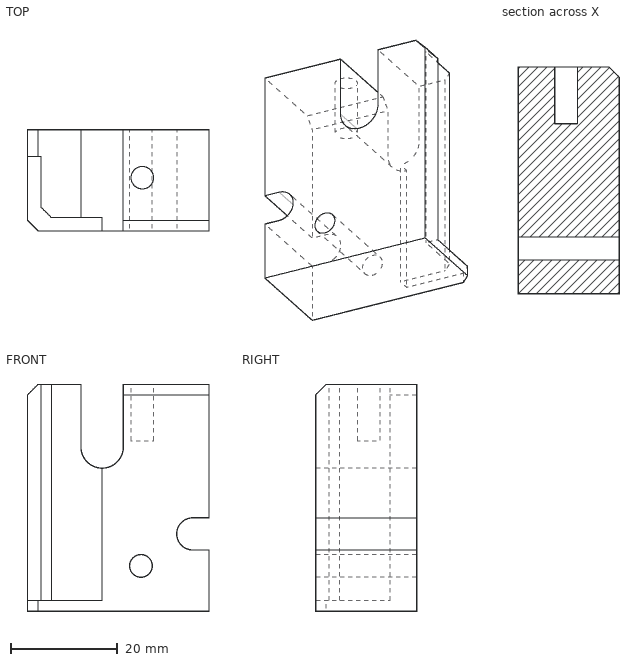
import cadquery as cq

width = 34.0
depth = 19.0
height = 42.5
chamfer = 2.0

step_depth = 2.5
ledge_height = 2.0
rear_rib_depth = 5.0

slot_x = 14.0
slot_width = 7.9
slot_floor = 26.8

notch_z = 14.5
notch_width = 6.0
notch_end_x = 27.95

hole_diameter = 4.2
through_hole_x = 21.25
through_hole_z = 8.5
top_hole_x = 21.5
top_hole_y = 10.0
top_hole_depth = 10.62


def box_between(x0, x1, y0, y1, z0, z1):
    return cq.Workplane("XY").box(x1 - x0, y1 - y0, z1 - z0, centered=False).translate((x0, y0, z0))


def rod_along_y(x, z, diameter):
    """Cylinder through the whole depth of the block."""
    return cq.Workplane("XZ", origin=(x, 0, z)).circle(diameter / 2).extrude(-depth)


def chamfered_block():
    block = cq.Workplane("XY").box(width, depth, height, centered=False)
    block = block.edges("|Z and <X and <Y").chamfer(chamfer)
    left_wedge = (
        cq.Workplane("XZ")
        .polyline([(0, height - chamfer), (chamfer, height), (0, height)])
        .close()
        .extrude(-depth)
    )
    front_wedge = (
        cq.Workplane("YZ")
        .polyline([(0, height - chamfer), (chamfer, height), (0, height)])
        .close()
        .extrude(width)
    )
    return block.cut(left_wedge).cut(front_wedge)


def corner_step():
    """L-shaped cutter that wraps the front left corner and leaves the ledge below."""
    rib_front = depth - rear_rib_depth
    return (
        cq.Workplane("XY", origin=(0, 0, ledge_height))
        .polyline([
            (0, 0),
            (slot_x, 0),
            (slot_x, step_depth),
            (step_depth + chamfer, step_depth),
            (step_depth, step_depth + chamfer),
            (step_depth, rib_front),
            (0, rib_front),
        ])
        .close()
        .extrude(height - ledge_height)
    )


def top_slot():
    radius = slot_width / 2
    arc_z = slot_floor + radius
    channel = box_between(slot_x - radius, slot_x + radius, 0, depth, arc_z, height)
    return channel.union(rod_along_y(slot_x, arc_z, slot_width))


def side_notch():
    radius = notch_width / 2
    arc_x = notch_end_x + radius
    channel = box_between(arc_x, width, 0, depth, notch_z - radius, notch_z + radius)
    return channel.union(rod_along_y(arc_x, notch_z, notch_width))


def top_hole():
    """Blind hole drilled down from the top face."""
    return (
        cq.Workplane("XY", origin=(top_hole_x, top_hole_y, height))
        .circle(hole_diameter / 2)
        .extrude(-top_hole_depth)
    )


result = (
    chamfered_block()
    .cut(corner_step())
    .cut(top_slot())
    .cut(side_notch())
    .cut(rod_along_y(through_hole_x, through_hole_z, hole_diameter))
    .cut(top_hole())
)